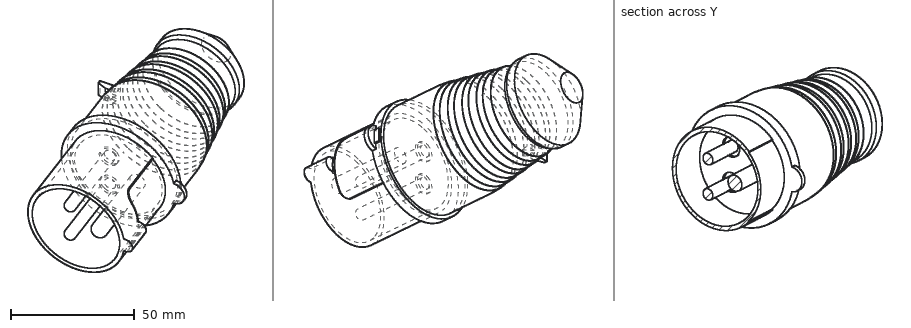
import cadquery as cq
import math


length = 123.0
shroud_radius = 43.8 / 2
cavity_radius = 39.7 / 2
flange_front = 37.0
flange_back = 42.2
flange_radius = 51.7 / 2
barrel_radius = 48.5 / 2
barrel_back = 65.0

ridge_count = 5
ridge_pitch = 6.9
ridge_width = 4.0
ridge_rise = 0.4
pitch_drop = 1.05
groove_step = 0.18
neck_radius = 18.8

cap_radius = 39.5 / 2
cap_front = 103.6
cap_chamfer_back = 105.4
cap_collar_back = 109.7
cap_tip_radius = 6.6

cavity_floor = flange_front
small_pin_radius = 5.0 / 2
small_pin_x = -4.4
small_pin_z = 7.6
small_pin_tip = 1.8
earth_pin_radius = 7.0 / 2
earth_pin_x = 8.7
earth_pin_tip = 1.2
pin_flat_radius = 1.0
pin_recess_radius = 8.5 / 2
pin_recess_depth = 1.2
pin_embedment = 2 * pin_recess_depth

key_radius = 3.2
key_x = 22.5
key_length = 12.0
key_root_fillet = 0.7
relief_front = 12.9
relief_half_width = 15.0
relief_corner = 3.7
relief_depth = 0.4
tab_radius = 5.4
tab_end = 30.1
tab_front = flange_front
tab_back = 39.1
tab_step_x = 26.5
tab_step_back = 41.5
tab_step_width = 6.2

latch_tip = -31.0
latch_back = 81.0
latch_tip_front = 79.6
latch_plate_x = -26.9
latch_plate_front = 78.0
latch_web_x = -23.2
latch_web_front = 74.9
latch_root = -barrel_radius / 2
latch_width = 6.4
latch_web_width = 2.8


def cylinder(radius, y_start, y_end, x=0.0, z=0.0):
    """Cylinder parallel to Y."""
    plane = cq.Plane(origin=(x, y_start, z), xDir=(1, 0, 0), normal=(0, 1, 0))
    return cq.Workplane(plane).circle(radius).extrude(y_end - y_start)


def revolve_about_y(points):
    return cq.Workplane("XY").polyline(points).close().revolve(360, (0, 0), (0, 1))


def make_shell():
    """Shroud, flange, barrel and ribbed grip as one turned shape."""
    points = [
        (0, 0),
        (shroud_radius, 0),
        (shroud_radius, flange_front),
        (flange_radius, flange_front),
        (flange_radius, flange_back),
        (barrel_radius, flange_back),
    ]
    for i in range(ridge_count):
        ridge_front = barrel_back + i * ridge_pitch
        ridge_back = ridge_front + ridge_width
        front_radius = barrel_radius - i * pitch_drop
        groove_back_radius = front_radius - pitch_drop
        points.append((front_radius, ridge_front))
        points.append((front_radius - ridge_rise, ridge_back))
        points.append((front_radius - ridge_rise - groove_step, ridge_back))
        points.append((groove_back_radius - groove_step, ridge_front + ridge_pitch))
    points += [(neck_radius, cap_front), (0, cap_front)]
    return revolve_about_y(points)


def make_relief():
    """Shallow round-cornered window cut into the +X side of the shroud."""
    window_length = flange_front - relief_front
    window = (
        cq.Workplane("XY")
        .box(flange_radius, window_length, 2 * relief_half_width, centered=(False, False, True))
        .translate((0, relief_front, 0))
        .edges("|X and <Y")
        .fillet(relief_corner)
    )
    ring = cylinder(flange_radius, relief_front, flange_front)
    ring = ring.cut(cylinder(shroud_radius - relief_depth, relief_front, flange_front))
    return window.intersect(ring)


def add_key(body):
    """Rounded polarising key at the mouth of the shroud, blended into it."""
    key = cylinder(key_radius, 0, key_length, key_x)
    key = key.cut(cylinder(shroud_radius - relief_depth, 0, key_length))
    body = body.union(key)
    root_x = (shroud_radius**2 - key_radius**2 + key_x**2) / (2 * key_x)
    root_z = math.sqrt(shroud_radius**2 - root_x**2)
    for side in (-1, 1):
        root = cq.selectors.NearestToPointSelector((root_x, key_length / 2, side * root_z))
        body = body.edges("|Y").edges(root).fillet(key_root_fillet)
    return body


def make_tab():
    """Round tab on the flange with a small step behind it."""
    tab = cylinder(tab_radius, tab_front, tab_back, tab_end - tab_radius)
    step_depth = tab_step_x - shroud_radius
    step = (
        cq.Workplane("XY")
        .box(step_depth, tab_step_back - tab_front, tab_step_width, centered=(False, False, True))
        .translate((shroud_radius, tab_front, 0))
    )
    return tab.union(step)


def make_latch():
    """Lever with a wide plate and a narrow web that curves down to the grip."""
    plate = (
        cq.Workplane("XY")
        .moveTo(latch_root, latch_back)
        .lineTo(latch_tip, latch_back)
        .lineTo(latch_tip, latch_tip_front)
        .lineTo(latch_plate_x, latch_plate_front)
        .lineTo(latch_root, latch_plate_front)
        .close()
        .extrude(latch_width / 2, both=True)
    )
    web = (
        cq.Workplane("XY")
        .moveTo(latch_root, latch_back)
        .lineTo(latch_tip, latch_back)
        .lineTo(latch_tip, latch_tip_front)
        .threePointArc((latch_plate_x, latch_plate_front), (latch_web_x, latch_web_front))
        .lineTo(latch_root, latch_web_front)
        .close()
        .extrude(latch_web_width / 2, both=True)
    )
    return plate.union(web)


def make_pin(radius, tip, x, z):
    """Contact pin with a rounded end and a small flat at the tip."""
    rounding = radius - pin_flat_radius
    pin = cylinder(radius, tip, cavity_floor + pin_embedment, x, z)
    return pin.faces("<Y").edges().fillet(rounding)


def make_plug_body():
    body = make_shell().cut(make_relief())
    body = add_key(body)
    body = body.cut(cylinder(cavity_radius, 0, cavity_floor))
    body = body.union(make_tab()).union(make_latch())
    for side in (-1, 1):
        z = side * small_pin_z
        recess = cylinder(pin_recess_radius, cavity_floor, cavity_floor + pin_recess_depth, small_pin_x, z)
        body = body.cut(recess)
        body = body.union(make_pin(small_pin_radius, small_pin_tip, small_pin_x, z))
    return body.union(make_pin(earth_pin_radius, earth_pin_tip, earth_pin_x, 0))


def make_gland_cap():
    """Conical cap with a collar, chamfered down to the neck of the grip."""
    return revolve_about_y(
        [
            (0, cap_front),
            (neck_radius, cap_front),
            (cap_radius, cap_chamfer_back),
            (cap_radius, cap_collar_back),
            (cap_tip_radius, length),
            (0, length),
        ]
    )


plug_body = make_plug_body()
gland_cap = make_gland_cap()
result = cq.Compound.makeCompound([plug_body.val(), gland_cap.val()])